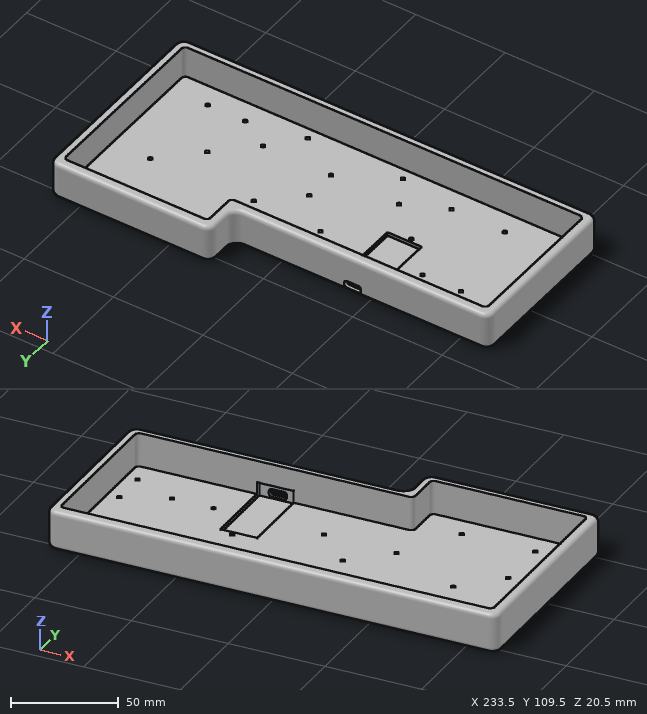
import cadquery as cq

COLUMN_SPAN = 152.2
KEY_PITCH = COLUMN_SPAN / 8

LENGTH = 233.5
WIDTH = 109.5
HEIGHT = 20.5
STEP_X = 143.0
STEP_Y = WIDTH - KEY_PITCH
CORNER_DIAMETER = 10.0
CORNER_RADIUS = CORNER_DIAMETER / 2
EDGE_RADIUS = CORNER_RADIUS / 2

WALL = CORNER_RADIUS
FLOOR = 3.0
CAVITY_CORNER_RADIUS = 2.22

BOARD_LEFT = 67.0
BOARD_WIDTH = KEY_PITCH
BOARD_LENGTH = 2 * KEY_PITCH
BOARD_DEPTH = 2.0
RECESS_FLOOR = FLOOR - BOARD_DEPTH
BOARD_RECESS_HEIGHT = 8.2
BOARD_WALL_CUT = 2.5

PORT_LENGTH = 9.3
PORT_HEIGHT = 4.0
PORT_CORNER_DIAMETER = 3.5
PORT_RISE = 2.8

HOLE_DIAMETER = 2.0
FIRST_COLUMN_X = 55.0
COLUMN_HOLES = [
    (0, 64.2), (1, 45.3), (2, 27.3), (3, 64.2), (4, 45.3), (4, 27.3), (5, 63.0),
    (6, 92.7), (6, 27.3), (7, 45.3), (8, 92.7), (8, 64.2), (8, 16.8),
]
OTHER_HOLES = [
    (11.2, 73.5), (11.2, 54.6), (33.6, 64.2), (41.0, 16.8),
    (71.0, 16.8), (102.0, 11.0), (155.3, 11.0), (186.3, 16.8),
]


def l_prism(inset, bottom, height):
    """L-shaped block whose sides lie `inset` inside the outer outline."""
    right = LENGTH - inset
    back = WIDTH - inset
    step_x = STEP_X + inset
    step_y = STEP_Y - inset
    outline = [
        (inset, inset),
        (right, inset),
        (right, back),
        (step_x, back),
        (step_x, step_y),
        (inset, step_y),
    ]
    return cq.Workplane("XY").workplane(offset=bottom).polyline(outline).close().extrude(height)


def shell():
    block = l_prism(0, 0, HEIGHT).edges("|Z").fillet(CORNER_RADIUS)
    return block.faces("<Z or >Z").edges().fillet(EDGE_RADIUS)


def cavity():
    return l_prism(WALL, FLOOR, HEIGHT).edges("|Z").fillet(CAVITY_CORNER_RADIUS)


def board_recess():
    back = STEP_Y - WALL + BOARD_WALL_CUT
    size_y = BOARD_LENGTH + BOARD_WALL_CUT
    block = cq.Workplane("XY").box(BOARD_WIDTH, size_y, BOARD_RECESS_HEIGHT, centered=False)
    return block.translate((BOARD_LEFT, back - size_y, RECESS_FLOOR))


def port():
    center = (BOARD_LEFT + BOARD_WIDTH / 2, STEP_Y, RECESS_FLOOR + PORT_RISE)
    block = cq.Workplane("XZ", origin=center).rect(PORT_LENGTH, PORT_HEIGHT).extrude(WALL)
    return block.edges("|Y").fillet(PORT_CORNER_DIAMETER / 2)


def screw_holes():
    points = [(FIRST_COLUMN_X + column * KEY_PITCH, y) for column, y in COLUMN_HOLES]
    points += OTHER_HOLES
    return cq.Workplane("XY").pushPoints(points).circle(HOLE_DIAMETER / 2).extrude(HEIGHT)


result = shell().cut(cavity()).cut(board_recess()).cut(port()).cut(screw_holes())